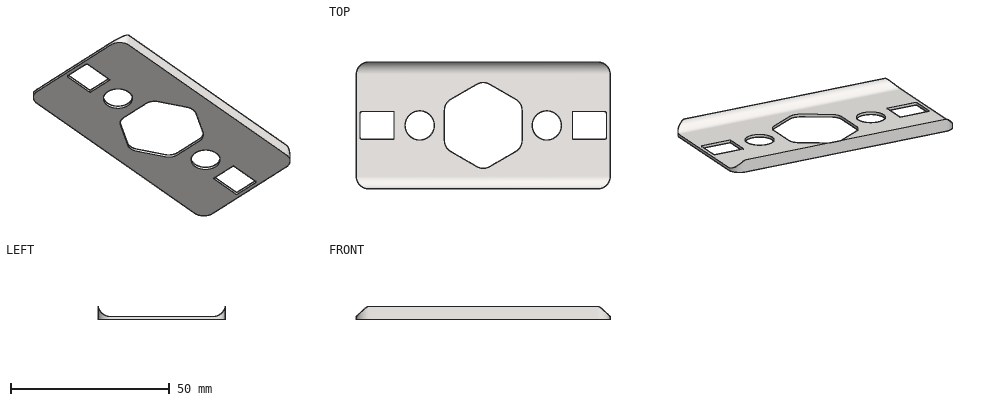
import cadquery as cq
import math

length = 80.0
width = 40.0
height = 4.2
web_thickness = 1.0
corner_radius = 4.0

rise_radius = 4.0

hex_across_flats = 24.4
hex_corner_radius = 4.0

hole_diameter = 9.1
hole_offset = length / 4

window_length = 10.6
window_width = 8.6
window_end_margin = 1.3
window_corner_radius = 0.5
window_offset = length / 2 - window_end_margin - window_length / 2


def plate_body():
    """Extrude the channel section along X and round its vertical corners."""
    edge_y = width / 2
    arc_center_z = web_thickness + rise_radius
    arc_run = math.sqrt(rise_radius**2 - (arc_center_z - height) ** 2)
    floor_y = edge_y - arc_run
    section = (
        cq.Workplane("YZ")
        .moveTo(-edge_y, 0)
        .lineTo(edge_y, 0)
        .lineTo(edge_y, height)
        .radiusArc((floor_y, web_thickness), rise_radius)
        .lineTo(-floor_y, web_thickness)
        .radiusArc((-edge_y, height), rise_radius)
        .close()
        .extrude(length / 2, both=True)
    )
    blank = cq.Workplane("XY").rect(length, width).extrude(height).edges("|Z").fillet(corner_radius)
    return section.intersect(blank)


def hex_opening():
    """Rounded hexagon with two flats facing along X."""
    across_corners = hex_across_flats / math.cos(math.pi / 6)
    return (
        cq.Workplane("XY")
        .transformed(rotate=(0, 0, 90))
        .polygon(6, across_corners)
        .extrude(height)
        .edges("|Z")
        .fillet(hex_corner_radius)
    )


def window(side):
    """Rectangular window whose two corners nearest the plate end are rounded."""
    end_face = ">X" if side > 0 else "<X"
    return (
        cq.Workplane("XY")
        .center(side * window_offset, 0)
        .rect(window_length, window_width)
        .extrude(height)
        .faces(end_face)
        .edges("|Z")
        .fillet(window_corner_radius)
    )


def round_hole(side):
    return cq.Workplane("XY").center(side * hole_offset, 0).circle(hole_diameter / 2).extrude(height)


result = plate_body().cut(hex_opening())
for side in (-1, 1):
    result = result.cut(round_hole(side))
    result = result.cut(window(side))